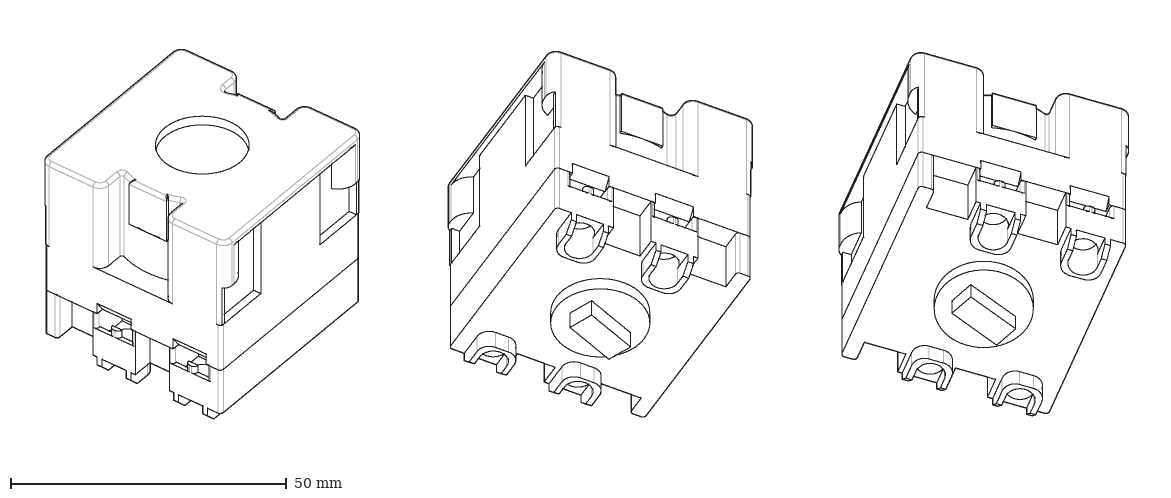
import cadquery as cq
import math


head_width = 42.0
head_half = head_width / 2
waist_half = 20.0
base_height = 10.0
shelf_height = 20.4
flare_height = 29.0
rim_height = 38.0
top_height = 39.58
head_corner_radius = 2.0
waist_corner_radius = 0.7
top_edge_radius = 0.75
dial_diameter = 17.0
dial_depth = 2.0

slot_half = 7.0
slot_back_radius = 16.45
slot_mouth_radius = head_corner_radius
slot_corner_radius = 0.45
wide_slot_corner_radius = 1.0
pad_half = 4.25
pad_bottom = 29.65

recess_inner = 8.95
recess_outer = 19.95
recess_depth = 1.65
post_radius = 4.0
post_center_y = 18.35

terminal_centers = (-4.25, 13.05)
window_spans = ((-8.15, -0.35), (9.15, 16.65))
window_height = 2.38
window_depth = 1.65
block_width = 9.6
base_recess_start = -17.05
base_recess_depth = 4.4
pocket_width = 7.75
pocket_back = 13.45
pocket_floor = 3.6
mouth_radius = 0.65
sill_height = 6.45
sill_depth = 0.9
leg_spans = ((-8.2, -0.45), (9.28, 16.9))
leg_height = 3.75
leg_chamfer = 1.95
leg_corner_radius = 2.45
wire_hole_diameter = 5.5
wire_hole_center_y = 16.9
peg_width = 2.1
peg_height = 1.6
peg_corner_radius = 0.8

boss_diameter = 18.0
boss_height = 2.55
shaft_length = 11.0
shaft_width = 5.1
shaft_height = 3.55
shaft_angle = 22.5


def block(x_range, y_range, z_range):
    """Box spanning the given ranges."""
    (x0, x1), (y0, y1), (z0, z1) = x_range, y_range, z_range
    return cq.Workplane("XY").box(x1 - x0, y1 - y0, z1 - z0, centered=False).translate((x0, y0, z0))


def rounded_box(half_x, half_y, z_range, radius):
    """Box centred on the axis with rounded vertical edges."""
    return block((-half_x, half_x), (-half_y, half_y), z_range).edges("|Z").fillet(radius)


def on_front_and_rear(shape):
    """The shape together with its mirror image in the XZ plane."""
    return shape.union(shape.mirror("XZ"))


def mouth_rounding(wall_x, side, z_range, radius):
    """Cutter that rounds the edge between the front face and a recess wall whose material is on `side`."""
    center_x = wall_x + side * radius
    center_y = -head_half + radius
    bottom, top = z_range
    corner = block(sorted((wall_x, center_x)), (-head_half, center_y), z_range)
    rounding = cq.Workplane("XY", origin=(center_x, center_y, bottom)).circle(radius).extrude(top - bottom)
    return corner.cut(rounding)


def grip_slot(left_corner_radius):
    """Cutter for the slot in the front face, with rounded mouth and a cylindrical back wall."""
    z_range = (shelf_height, top_height)
    core = (
        cq.Workplane("XY", origin=(0, 0, shelf_height))
        .circle(slot_back_radius)
        .extrude(top_height - shelf_height)
    )
    slot = block((-slot_half, slot_half), (-head_half, 0), z_range).cut(core)
    corner_y = -math.sqrt(slot_back_radius**2 - slot_half**2)
    for side, radius in ((-1, left_corner_radius), (1, slot_corner_radius)):
        corner = cq.selectors.NearestToPointSelector(
            (side * slot_half, corner_y, (shelf_height + top_height) / 2)
        )
        slot = slot.edges("|Z").edges(corner).fillet(radius)
        slot = slot.union(mouth_rounding(side * slot_half, side, z_range, slot_mouth_radius))
    pad = block((-pad_half, pad_half), (-slot_back_radius, 0), (pad_bottom, top_height))
    return slot.cut(pad)


def corner_recess():
    """Cutter for the recess at the left rear corner, leaving the rounded post standing."""
    floor_x = -waist_half + recess_depth
    recess = block((-head_half, floor_x), (recess_inner, recess_outer), (shelf_height, rim_height))
    post = (
        cq.Workplane("XY", origin=(-head_half + post_radius, post_center_y, flare_height))
        .circle(post_radius)
        .extrude(rim_height - flare_height)
    )
    post_wall = block((-head_half, floor_x), (post_center_y, head_half), (flare_height, rim_height))
    return recess.cut(post).cut(post_wall)


def side_trim():
    """Cutter that brings the left face back to the waist width, below the rim and between the posts."""
    below_posts = block((-head_half, -waist_half), (-head_half, head_half), (shelf_height, flare_height))
    between_posts = block(
        (-head_half, -waist_half), (-recess_inner, recess_inner), (flare_height, rim_height)
    )
    return below_posts.union(between_posts)


def terminal_window(span):
    """Cutter for the wedge-shaped opening above a front terminal."""
    left, right = span
    return (
        cq.Workplane("YZ", origin=(left, 0, 0))
        .moveTo(-head_half, base_height)
        .lineTo(-head_half, base_height + window_height)
        .lineTo(-head_half + window_depth, base_height)
        .close()
        .extrude(right - left)
    )


def make_housing():
    head = rounded_box(head_half, head_half, (shelf_height, top_height), head_corner_radius)
    head = head.cut(grip_slot(slot_corner_radius))
    head = head.cut(grip_slot(wide_slot_corner_radius).mirror("XZ"))
    head = head.faces(">Z").edges().fillet(top_edge_radius)

    left_cut = side_trim().union(on_front_and_rear(corner_recess()))
    head = head.cut(left_cut).cut(left_cut.mirror("YZ"))

    waist = rounded_box(waist_half, head_half, (base_height, shelf_height), waist_corner_radius)
    for span in window_spans:
        waist = waist.cut(on_front_and_rear(terminal_window(span)))

    dial = (
        cq.Workplane("XY", origin=(0, 0, top_height - dial_depth))
        .circle(dial_diameter / 2)
        .extrude(dial_depth)
    )
    return waist.union(head).cut(dial)


def base_recesses():
    """Cutter for the front recesses to the left of each terminal block."""
    y_range = (-head_half, -head_half + base_recess_depth)
    z_range = (0, base_height)
    recesses = mouth_rounding(base_recess_start, -1, z_range, mouth_radius)
    start = base_recess_start
    for center in terminal_centers:
        recesses = recesses.union(block((start, center - block_width / 2), y_range, z_range))
        start = center + block_width / 2
    return recesses


def terminal_leg(span):
    """Leg below a front terminal, with a chamfered toe and rounded rear corners."""
    leg = block(span, (-head_half, -pocket_back), (-leg_height, 0))
    leg = leg.edges("|Z and >Y").fillet(leg_corner_radius)
    return leg.edges("<Y and <Z").chamfer(leg_chamfer)


def terminal_pocket(center):
    """Cutter for the pocket of a front terminal, opening over a sill with a rounded mouth."""
    half = pocket_width / 2
    x_range = (center - half, center + half)
    sill_back = -head_half + sill_depth
    opening_heights = (sill_height, base_height)
    pocket = block(x_range, (sill_back, -pocket_back), (pocket_floor, base_height))
    pocket = pocket.union(block(x_range, (-head_half, sill_back), opening_heights))
    for side in (-1, 1):
        pocket = pocket.union(mouth_rounding(center + side * half, side, opening_heights, mouth_radius))
    return pocket


def wire_hole(center):
    """Cutter for the hole from the pocket floor down, open to the front where it passes the leg."""
    radius = wire_hole_diameter / 2
    hole = (
        cq.Workplane("XY", origin=(center, -wire_hole_center_y, -leg_height))
        .circle(radius)
        .extrude(leg_height + pocket_floor)
    )
    opening = block(
        (center - radius, center + radius), (-head_half, -wire_hole_center_y), (-leg_height, 0)
    )
    return hole.union(opening)


def terminal_peg(center):
    """Small peg with rounded front corners, standing on the sill of the pocket."""
    x_range = (center - peg_width / 2, center + peg_width / 2)
    y_range = (-head_half, -head_half + sill_depth)
    peg = block(x_range, y_range, (sill_height, sill_height + peg_height))
    return peg.edges("|Z and <Y").fillet(peg_corner_radius)


def make_base():
    base = rounded_box(waist_half, head_half, (0, base_height), waist_corner_radius)
    base = base.cut(on_front_and_rear(base_recesses()))
    for span in leg_spans:
        base = base.union(on_front_and_rear(terminal_leg(span)))
    for center in terminal_centers:
        base = base.cut(on_front_and_rear(terminal_pocket(center).union(wire_hole(center))))
        base = base.union(on_front_and_rear(terminal_peg(center)))

    boss = cq.Workplane("XY").circle(boss_diameter / 2).extrude(-boss_height)
    shaft = (
        cq.Workplane("XY", origin=(0, 0, -boss_height))
        .transformed(rotate=(0, 0, shaft_angle))
        .rect(shaft_length, shaft_width)
        .extrude(-shaft_height)
    )
    return base.union(boss).union(shaft)


housing = make_housing()
base = make_base()
result = cq.Compound.makeCompound([housing.val(), base.val()])